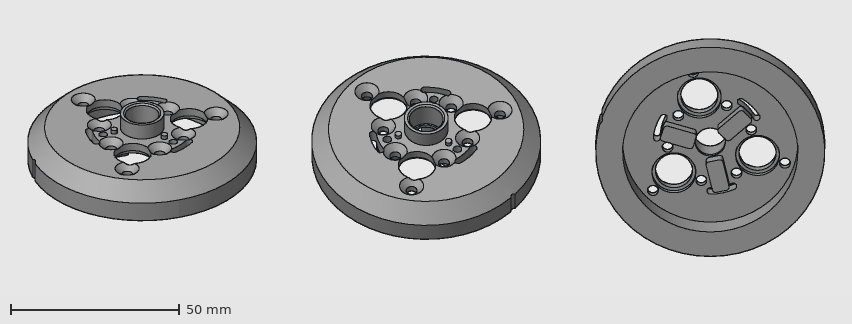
import cadquery as cq
import math

OUTER_DIAMETER = 68.0
RIM_HEIGHT = 6.2
SHOULDER = 5.0
TOP_Z = RIM_HEIGHT + SHOULDER
PLATE_THICKNESS = 4.0
UNDERSIDE_Z = TOP_Z - PLATE_THICKNESS
RECESS_DIAMETER = 52.0

HUB_DIAMETER = 13.0
HUB_HEIGHT = 4.95
HUB_TOP_Z = TOP_Z + HUB_HEIGHT
BORE_DIAMETER = 10.0
BORE_MOUTH_DIAMETER = 11.0
BORE_LIP_DIAMETER = 9.0
BORE_LIP_THICKNESS = 1.0

STATION_COUNT = 3
FIRST_STATION_ANGLE = 90.0
STATION_RADIUS = 14.7
WINDOW_DIAMETER = 11.0
WINDOW_STEP_HEIGHT = 1.5
WINDOW_STEP_DIAMETER = 13.0
SCREW_COUNT = 3
SCREW_CIRCLE_RADIUS = 8.5
SCREW_DIAMETER = 3.2
SCREW_HEAD_DIAMETER = 7.15

PIN_DIAMETER = 1.9
PIN_HEIGHT = 1.2
PIN_RADIUS = 8.8
DIMPLE_DIAMETER = 2.5
DIMPLE_RADIUS = 12.25
DIMPLE_DEPTH = 3.4
DIMPLE_POINT_ANGLE = 118.0
SLOT_RADIUS = 15.9
SLOT_WIDTH = 2.05
SLOT_LENGTH = 9.0

RIB_WIDTH = 5.1
RIB_BOTTOM_Z = 4.0
RIB_CORNER_RADIUS = 1.0
RIB_INNER_RADIUS = 4.8
RIB_OUTER_RADIUS = 14.95

GROOVE_DIAMETER = 2.5
GROOVE_DEPTH = 0.4

STATION_STEP = 360.0 / STATION_COUNT
STATION_ANGLES = [FIRST_STATION_ANGLE + i * STATION_STEP for i in range(STATION_COUNT)]
MIDWAY_ANGLES = [angle + STATION_STEP / 2 for angle in STATION_ANGLES]


def polar(radius, angle):
    """Point at a radius and an angle in degrees."""
    return (radius * math.cos(math.radians(angle)), radius * math.sin(math.radians(angle)))


def ring(radius, angles):
    """Points at one radius, one for each angle."""
    return [polar(radius, angle) for angle in angles]


def cylinders(points, diameter, bottom_z, top_z):
    """Upright cylinders between two heights."""
    plane = cq.Workplane("XY").workplane(offset=bottom_z)
    return plane.pushPoints(points).circle(diameter / 2).extrude(top_z - bottom_z)


def cones(points, bottom_diameter, top_diameter, bottom_z, top_z):
    """Upright cones between two heights."""
    cone = cq.Solid.makeCone(bottom_diameter / 2, top_diameter / 2, top_z - bottom_z)
    return cq.Workplane("XY").pushPoints(points).eachpoint(
        lambda place: cone.moved(place).translate(cq.Vector(0, 0, bottom_z)), combine=True
    )


def make_dish():
    disc = cq.Workplane("XY").circle(OUTER_DIAMETER / 2).extrude(TOP_Z).faces(">Z").chamfer(SHOULDER)
    return disc.cut(cylinders([(0, 0)], RECESS_DIAMETER, 0, UNDERSIDE_Z))


def make_rib(angle):
    """Radial rib with rounded vertical corners."""
    length = RIB_OUTER_RADIUS - RIB_INNER_RADIUS
    height = UNDERSIDE_Z - RIB_BOTTOM_Z
    return (
        cq.Workplane("XY")
        .box(length, RIB_WIDTH, height, centered=(False, True, False))
        .edges("|Z")
        .fillet(RIB_CORNER_RADIUS)
        .translate((RIB_INNER_RADIUS, 0, RIB_BOTTOM_Z))
        .rotate((0, 0, 0), (0, 0, 1), angle)
    )


def make_bore():
    """Chamfered bore that stops at a thin lip with a smaller opening."""
    centre = [(0, 0)]
    chamfer = (BORE_MOUTH_DIAMETER - BORE_DIAMETER) / 2
    opening = cylinders(centre, BORE_LIP_DIAMETER, 0, HUB_TOP_Z)
    bore = cylinders(centre, BORE_DIAMETER, UNDERSIDE_Z + BORE_LIP_THICKNESS, HUB_TOP_Z)
    mouth = cones(centre, BORE_DIAMETER, BORE_MOUTH_DIAMETER, HUB_TOP_Z - chamfer, HUB_TOP_Z)
    return opening.union(bore).union(mouth)


def make_windows():
    """Large holes, counterbored from the underside."""
    centres = ring(STATION_RADIUS, STATION_ANGLES)
    holes = cylinders(centres, WINDOW_DIAMETER, UNDERSIDE_Z, TOP_Z)
    steps = cylinders(centres, WINDOW_STEP_DIAMETER, UNDERSIDE_Z, UNDERSIDE_Z + WINDOW_STEP_HEIGHT)
    return holes.union(steps)


def make_screw_holes():
    """Countersunk holes on a circle around each window."""
    points = []
    for angle in STATION_ANGLES:
        centre_x, centre_y = polar(STATION_RADIUS, angle)
        for i in range(SCREW_COUNT):
            dx, dy = polar(SCREW_CIRCLE_RADIUS, angle + i * 360.0 / SCREW_COUNT)
            points.append((centre_x + dx, centre_y + dy))
    depth = (SCREW_HEAD_DIAMETER - SCREW_DIAMETER) / 2
    holes = cylinders(points, SCREW_DIAMETER, 0, TOP_Z)
    return holes.union(cones(points, SCREW_DIAMETER, SCREW_HEAD_DIAMETER, TOP_Z - depth, TOP_Z))


def make_dimples():
    """Blind drilled holes with a conical point."""
    points = ring(DIMPLE_RADIUS, MIDWAY_ANGLES)
    floor_z = TOP_Z - DIMPLE_DEPTH
    point_depth = DIMPLE_DIAMETER / 2 / math.tan(math.radians(DIMPLE_POINT_ANGLE / 2))
    walls = cylinders(points, DIMPLE_DIAMETER, floor_z, TOP_Z)
    return walls.union(cones(points, 0, DIMPLE_DIAMETER, floor_z - point_depth, floor_z))


def make_slot(angle):
    """Curved slot with round ends, centred on an angle."""
    half_sweep = math.degrees((SLOT_LENGTH - SLOT_WIDTH) / 2 / SLOT_RADIUS)
    start = angle - half_sweep
    end = angle + half_sweep
    inner = SLOT_RADIUS - SLOT_WIDTH / 2
    outer = SLOT_RADIUS + SLOT_WIDTH / 2
    outline = (
        cq.Workplane("XY")
        .workplane(offset=UNDERSIDE_Z)
        .moveTo(*polar(inner, start))
        .threePointArc(polar(inner, angle), polar(inner, end))
        .tangentArcPoint(polar(outer, end), relative=False)
        .threePointArc(polar(outer, angle), polar(outer, start))
        .tangentArcPoint(polar(inner, start), relative=False)
        .close()
    )
    return outline.extrude(PLATE_THICKNESS)


result = make_dish()
result = result.union(cylinders([(0, 0)], HUB_DIAMETER, TOP_Z, HUB_TOP_Z))
result = result.cut(make_bore()).cut(make_windows()).cut(make_screw_holes())
for midway_angle in MIDWAY_ANGLES:
    result = result.cut(make_slot(midway_angle)).union(make_rib(midway_angle))
result = result.cut(make_dimples())
result = result.union(cylinders(ring(PIN_RADIUS, MIDWAY_ANGLES), PIN_DIAMETER, TOP_Z, TOP_Z + PIN_HEIGHT))

groove_y = -(OUTER_DIAMETER + GROOVE_DIAMETER) / 2 + GROOVE_DEPTH
result = result.cut(cylinders([(0, groove_y)], GROOVE_DIAMETER, 0, TOP_Z))